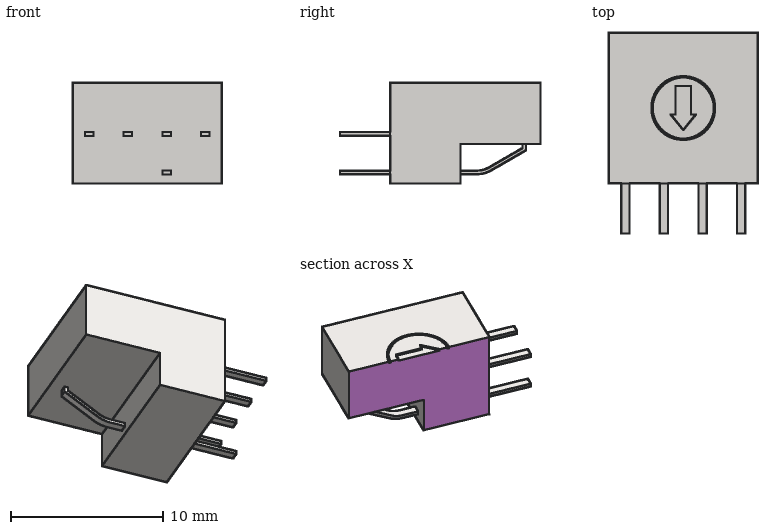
import cadquery as cq
import math

overall_depth = 13.2
body_width = 9.8
body_depth = 9.9
body_height = 6.64
foot_depth = 4.63
foot_height = 2.6
front_y = -body_depth / 2
back_y = body_depth / 2
foot_back_y = front_y + foot_depth

pin_length = overall_depth - body_depth
pin_width = 0.55
pin_thickness = 0.25
pin_pitch = 2.53
pin_count = 4
lower_pin_x = pin_pitch / 2
lower_pin_z = 0.74
upper_pin_z = lower_pin_z + pin_pitch

lead_setback = 0.95
lead_drop = 0.33
lead_slope = math.radians(30)
lead_bend_radius = 1.72

marking_depth = 0.1
dial_outer_radius = 2.1
dial_inner_radius = 2.0
arrow_half_length = 1.44
arrow_shaft_width = 1.0
arrow_head_width = 1.69
arrow_shoulder_y = -0.41


def make_body():
    outline = [
        (front_y, 0),
        (foot_back_y, 0),
        (foot_back_y, foot_height),
        (back_y, foot_height),
        (back_y, body_height),
        (front_y, body_height),
    ]
    profile = cq.Workplane("YZ").polyline(outline).close()
    return profile.extrude(body_width / 2, both=True)


def make_pin(x, z):
    pin = cq.Workplane("XY").box(pin_width, pin_length, pin_thickness)
    return pin.translate((x, front_y - pin_length / 2, z))


def make_lead():
    """Strip from the foot that bends up a slope, then turns into the underside."""
    half = pin_thickness / 2
    top_y = back_y - lead_setback - half
    top_z = foot_height - lead_drop
    bend_y = top_y - (top_z - lower_pin_z) / math.tan(lead_slope)
    top_mitre = half * math.tan((math.pi / 2 - lead_slope) / 2)
    low_mitre = half * math.tan(lead_slope / 2)
    outline = [
        (foot_back_y, lower_pin_z - half),
        (bend_y + low_mitre, lower_pin_z - half),
        (top_y + half, top_z - top_mitre),
        (top_y + half, foot_height),
        (top_y - half, foot_height),
        (top_y - half, top_z + top_mitre),
        (bend_y - low_mitre, lower_pin_z + half),
        (foot_back_y, lower_pin_z + half),
    ]
    lead = cq.Workplane("YZ").polyline(outline).close().extrude(pin_width / 2, both=True)
    outer_bend = cq.selectors.NearestToPointSelector((0, bend_y + low_mitre, lower_pin_z - half))
    lead = lead.edges("|X").edges(outer_bend).fillet(lead_bend_radius + half)
    inner_bend = cq.selectors.NearestToPointSelector((0, bend_y - low_mitre, lower_pin_z + half))
    lead = lead.edges("|X").edges(inner_bend).fillet(lead_bend_radius - half)
    return lead.translate((lower_pin_x, 0, 0))


def make_markings():
    floor = cq.Workplane("XY", origin=(0, 0, body_height - marking_depth))
    ring = floor.circle(dial_outer_radius).circle(dial_inner_radius).extrude(marking_depth)
    half_arrow = [
        (0, arrow_half_length),
        (arrow_shaft_width / 2, arrow_half_length),
        (arrow_shaft_width / 2, arrow_shoulder_y),
        (arrow_head_width / 2, arrow_shoulder_y),
        (0, -arrow_half_length),
    ]
    arrow = floor.polyline(half_arrow).mirrorY().extrude(marking_depth)
    return ring.union(arrow)


result = make_body().cut(make_markings())
for index in range(pin_count):
    pin_x = (index - (pin_count - 1) / 2) * pin_pitch
    result = result.union(make_pin(pin_x, upper_pin_z))
result = result.union(make_pin(lower_pin_x, lower_pin_z))
result = result.union(make_lead())